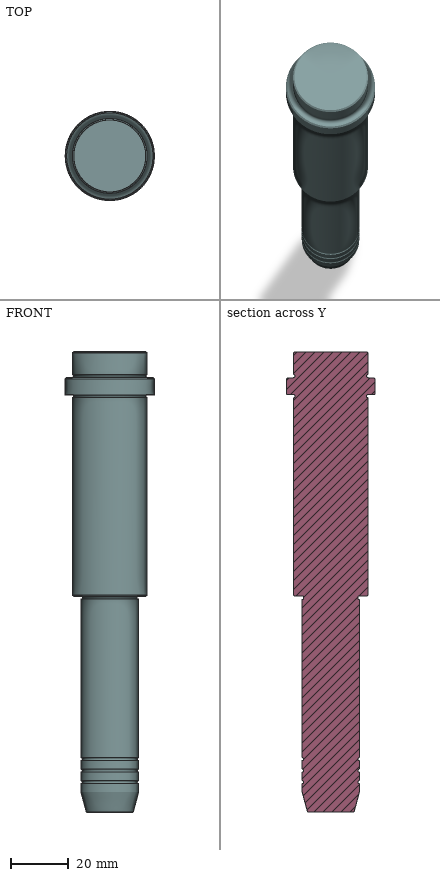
import cadquery as cq
import math

LENGTH = 160.0

BODY_RADIUS = 13.0
BODY_BOTTOM = 75.0
COLLAR_RADIUS = 15.5
COLLAR_BOTTOM = 145.0
COLLAR_HEIGHT = 6.0
COLLAR_TOP = COLLAR_BOTTOM + COLLAR_HEIGHT
EDGE_CHAMFER = 0.5

PILOT_RADIUS = 10.0
NECK_RADIUS = 9.5
NECK_LENGTH = 1.0
TAPER_HEIGHT = 7.0
TAPER_ANGLE = 15.0
TIP_RADIUS = PILOT_RADIUS - TAPER_HEIGHT * math.tan(math.radians(TAPER_ANGLE))
TIP_FILLET = 0.5

GROOVE_RADIUS = 0.5
RING_PITCH = 4.0
RING_COUNT = 3
FIRST_RING_CENTER = 10.5


def groove(profile, radius, center):
    """Continue the profile upwards through a half-round groove in a shaft."""
    return (
        profile.lineTo(-radius, center - GROOVE_RADIUS)
        .threePointArc((GROOVE_RADIUS - radius, center), (-radius, center + GROOVE_RADIUS))
    )


def pilot_profile(profile):
    """Tip, ring grooves and neck, up to the body shoulder."""
    profile = (
        profile.lineTo(-TIP_RADIUS, 0)
        .lineTo(-PILOT_RADIUS, TAPER_HEIGHT)
    )
    for index in range(RING_COUNT):
        profile = groove(profile, PILOT_RADIUS, FIRST_RING_CENTER + index * RING_PITCH)
    return (
        profile.lineTo(-PILOT_RADIUS, BODY_BOTTOM - NECK_LENGTH)
        .lineTo(-NECK_RADIUS, BODY_BOTTOM - NECK_LENGTH)
        .lineTo(-NECK_RADIUS, BODY_BOTTOM)
    )


def body_profile(profile):
    """Body with chamfered ends, and the collar between its two grooves."""
    profile = (
        profile.lineTo(EDGE_CHAMFER - BODY_RADIUS, BODY_BOTTOM)
        .lineTo(-BODY_RADIUS, BODY_BOTTOM + EDGE_CHAMFER)
    )
    profile = groove(profile, BODY_RADIUS, COLLAR_BOTTOM - GROOVE_RADIUS)
    profile = (
        profile.lineTo(-COLLAR_RADIUS, COLLAR_BOTTOM)
        .lineTo(-COLLAR_RADIUS, COLLAR_TOP - EDGE_CHAMFER)
        .lineTo(EDGE_CHAMFER - COLLAR_RADIUS, COLLAR_TOP)
    )
    profile = groove(profile, BODY_RADIUS, COLLAR_TOP + GROOVE_RADIUS)
    return (
        profile.lineTo(-BODY_RADIUS, LENGTH - EDGE_CHAMFER)
        .lineTo(EDGE_CHAMFER - BODY_RADIUS, LENGTH)
    )


def pin():
    """Half section on the -X side, revolved about the Z axis, with a rounded tip edge."""
    profile = cq.Workplane("XZ").moveTo(0, 0)
    profile = pilot_profile(profile)
    profile = body_profile(profile)
    solid = profile.lineTo(0, LENGTH).close().revolve(360, (0, 0), (0, 1))
    return solid.faces("<Z").edges().fillet(TIP_FILLET)


result = pin()